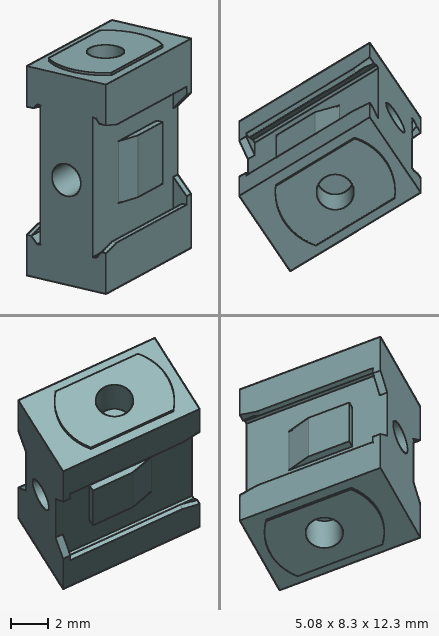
import cadquery as cq

width = 5.08
depth = 8.3
height = 12.3
plate_thickness = 0.15
body_height = height - 2 * plate_thickness
front_y = -depth / 2
back_y = depth / 2

web_width = 3.36
channel_half_height = 3.38
lip_thickness = 0.3
lip_corner_z = 3.67
groove_half_height = 4.07
groove_floor_width = 0.2
upper_groove_reduction = 0.14
flare_length = 1.06
flared_half_height = lip_corner_z

stop_thickness = 0.44
opening_inner_z = 1.97
opening_outer_z = 2.9

pad_thickness = 0.38
pad_half_height = 1.77
pad_back_y = 2.09
pad_front_y = -1.66

axis_y = -0.33
plate_width = 4.01
plate_diameter = 6.42
end_hole_diameter = 2.0
end_hole_depth = 2.46
cross_hole_diameter = 1.85

outer_x = width / 2
web_x = web_width / 2
lip_x = outer_x - lip_thickness
groove_floor_x = web_x + groove_floor_width
pad_x = web_x + pad_thickness


def extrude_along_y(points, start_y, end_y):
    """Extrude an (x, z) outline between two Y positions."""
    profile = cq.Workplane("XZ", origin=(0, start_y, 0)).polyline(points).close()
    return profile.extrude(start_y - end_y)


def groove_half_outline(reduction):
    """One half of the groove outline, with its undercut made shallower by reduction."""
    return [
        (outer_x, channel_half_height),
        (lip_x, channel_half_height),
        (lip_x, lip_corner_z - reduction),
        (groove_floor_x, groove_half_height - reduction),
        (web_x, groove_half_height - reduction),
    ]


def side_channel():
    """Channel cutter for the +X side, open to the front and partly to the rear."""
    stop_y = back_y - stop_thickness
    upper_outline = groove_half_outline(upper_groove_reduction)
    lower_outline = [(x, -z) for x, z in groove_half_outline(0)]
    groove = extrude_along_y(upper_outline + lower_outline[::-1], front_y, stop_y)
    rear_opening = extrude_along_y(
        [
            (outer_x, opening_outer_z),
            (web_x, opening_inner_z),
            (web_x, -opening_inner_z),
            (outer_x, -opening_outer_z),
        ],
        stop_y, back_y,
    )
    flare_end_y = front_y + flare_length
    lead_in = (
        cq.Workplane("YZ", origin=(web_x, 0, 0))
        .polyline([
            (front_y, flared_half_height),
            (flare_end_y, channel_half_height),
            (flare_end_y, -channel_half_height),
            (front_y, -flared_half_height),
        ])
        .close()
        .extrude(outer_x - web_x)
    )
    return groove.union(rear_opening).union(lead_in)


def wedge_pads():
    """Pads on both web faces, tapering to nothing toward the front."""
    outline = [
        (-web_x, pad_front_y),
        (-pad_x, axis_y),
        (-pad_x, pad_back_y),
        (pad_x, pad_back_y),
        (pad_x, axis_y),
        (web_x, pad_front_y),
    ]
    base = cq.Workplane("XY", origin=(0, 0, -pad_half_height))
    return base.polyline(outline).close().extrude(2 * pad_half_height)


def end_plates():
    """Flat-sided round plates standing proud of the top and bottom."""
    disc = cq.Workplane("XY").circle(plate_diameter / 2).extrude(height / 2, both=True)
    flats = cq.Workplane("XY").box(plate_width, plate_diameter, height)
    core = cq.Workplane("XY").box(width, depth, body_height)
    return disc.intersect(flats).translate((0, axis_y, 0)).cut(core)


body = cq.Workplane("XY").box(width, depth, body_height)
channel = side_channel()
body = body.cut(channel).cut(channel.mirror("YZ"))
body = body.union(wedge_pads()).union(end_plates())

cross_hole = cq.Workplane("XZ").circle(cross_hole_diameter / 2).extrude(depth / 2, both=True)
body = body.cut(cross_hole)

top_hole = (
    cq.Workplane("XY", origin=(0, axis_y, height / 2))
    .circle(end_hole_diameter / 2)
    .extrude(-end_hole_depth)
)
result = body.cut(top_hole).cut(top_hole.mirror("XY"))